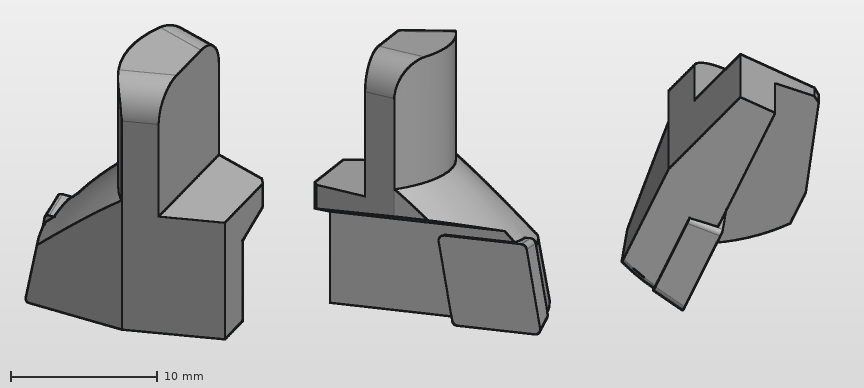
import cadquery as cq
import math

LARGE = 40.0

half_width = 5.2
stem_top = 19.5
foot_rear_x = 4.35
foot_top = 9.5
side_taper = 18.0
taper_start_x = -2.42
stem_edge_radius = 2.5
rear_chamfer_x = 0.35
rear_chamfer_y = 0.4

stem_nose_x = -4.45
stem_radius = 7.8
nose_axis_x = stem_nose_x + stem_radius
shoulder_z = 10.5
nose_edge_z = 4.9
relief_angle = 10.0
nose_edge_radius = stem_radius + shoulder_z - nose_edge_z
nose_base_radius = nose_edge_radius + nose_edge_z * math.tan(math.radians(relief_angle))
nose_bottom_fillet = 0.28

clearance_y = -0.35
clearance_z = 6.55
clearance_slope = 20.0

insert_corner_x = -11.22
insert_bottom_z = -0.5
insert_height = 6.35
insert_thickness = 2.4
insert_clearance_angle = 7.0
insert_corner_radius = 0.4


def tapered_block():
    """Wedge-sided block with rounded stem edges and a lower foot at the rear."""
    taper_slope = math.tan(math.radians(side_taper))
    rear_half = half_width - (foot_rear_x - taper_start_x) * taper_slope

    def wedge(front_x, height):
        front_half = rear_half + (foot_rear_x - front_x) * taper_slope
        outline = [
            (front_x, -front_half),
            (foot_rear_x, -rear_half),
            (foot_rear_x, rear_half),
            (front_x, front_half),
        ]
        return cq.Workplane("XY").polyline(outline).close().extrude(height)

    stem = wedge(-LARGE / 2, stem_top).faces(">Z").edges("not |Y").fillet(stem_edge_radius)
    behind_stem = cq.Workplane("XY").box(LARGE, LARGE, LARGE, centered=(False, True, False))
    stem = stem.cut(behind_stem.translate((0, 0, foot_top)))

    side_limits = cq.Workplane("XY").box(LARGE, 2 * half_width, LARGE, centered=(True, True, False))
    chamfer_start_y = rear_half + rear_chamfer_x * taper_slope
    rear_chamfer = (
        cq.Workplane("XY")
        .polyline([
            (foot_rear_x - rear_chamfer_x, chamfer_start_y),
            (foot_rear_x, rear_half),
            (foot_rear_x, rear_half - rear_chamfer_y),
        ])
        .close()
        .extrude(foot_top)
    )
    return stem.intersect(side_limits).cut(rear_chamfer)


def nose_envelope():
    """Revolved limit of the holder: relief cone, 45 degree cone and stem cylinder."""
    return (
        cq.Workplane("XZ")
        .polyline([
            (0, 0),
            (nose_base_radius, 0),
            (nose_edge_radius, nose_edge_z),
            (stem_radius, shoulder_z),
            (stem_radius, stem_top),
            (0, stem_top),
        ])
        .close()
        .revolve(360, (0, 0), (0, 1))
        .faces("<Z").edges().fillet(nose_bottom_fillet)
        .translate((nose_axis_x, 0, 0))
    )


def chip_clearance():
    """Space beneath a sloping plane, open toward +Y and through the full length."""
    run = half_width - clearance_y
    slope_end_z = clearance_z + run * math.tan(math.radians(clearance_slope))
    return (
        cq.Workplane("YZ")
        .polyline([
            (clearance_y, 0),
            (clearance_y, clearance_z),
            (half_width, slope_end_z),
            (half_width, 0),
        ])
        .close()
        .extrude(LARGE / 2, both=True)
    )


def make_insert():
    """Rhombic cutting plate with rounded corners and inclined flanks."""
    lean = math.radians(relief_angle)
    side = insert_height / math.cos(lean)
    shift = insert_height * math.tan(lean)
    top_z = insert_bottom_z + insert_height
    return (
        cq.Workplane("XZ")
        .polyline([
            (insert_corner_x, insert_bottom_z),
            (insert_corner_x + side, insert_bottom_z),
            (insert_corner_x + side + shift, top_z),
            (insert_corner_x + shift, top_z),
        ])
        .close()
        .extrude(insert_thickness, taper=insert_clearance_angle)
        .edges("not #Y")
        .fillet(insert_corner_radius)
    )


def make_holder(insert):
    """Holder with its chip clearance and a seat matching the insert."""
    return tapered_block().intersect(nose_envelope()).cut(chip_clearance()).cut(insert)


insert = make_insert()
holder = make_holder(insert)

result = cq.Compound.makeCompound([holder.val(), insert.val()])